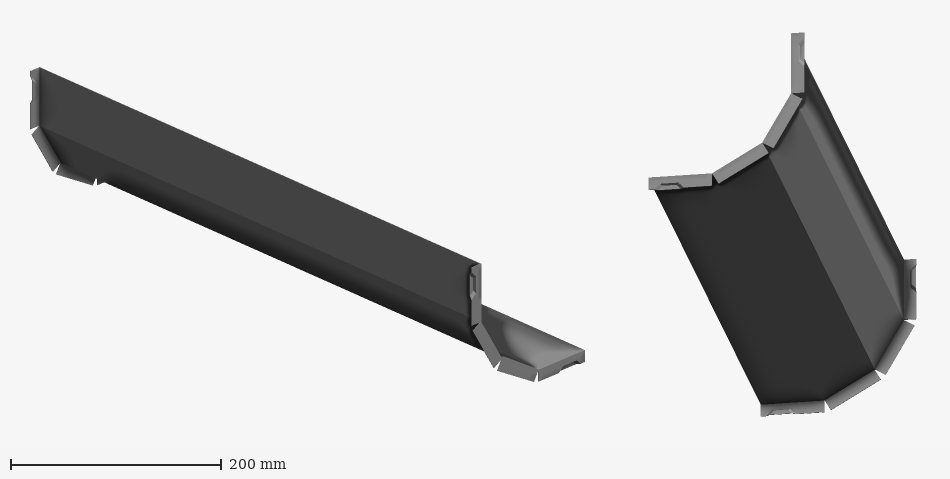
import cadquery as cq
import math

LENGTH = 600.0
SECTION_SIZE = 150.0
SHEET_THICKNESS = 0.8
FLANGE_DEPTH = 12.5
END_PANEL_WIDTH = 61.0
BEND_ANGLE = 30.0

JOGGLE_DISTANCE = 20.0
RIM_HALF_WIDTH = 14.5
RIM_REACH = 5.5
FLOOR_HALF_WIDTH = 11.0
FLOOR_REACH = 4.0
JOGGLE_OFFSET = 2.5

bend = math.radians(BEND_ANGLE)
middle_panel_width = (SECTION_SIZE - FLANGE_DEPTH - END_PANEL_WIDTH) / (math.cos(bend) + math.sin(bend))
panel_widths = [END_PANEL_WIDTH, middle_panel_width, middle_panel_width, END_PANEL_WIDTH]

FIRST_HEADING = 180.0
headings = [FIRST_HEADING - i * BEND_ANGLE for i in range(len(panel_widths))]


def step(point, angle, distance):
    """Point reached from a YZ point along a direction given in degrees from +Y."""
    radians = math.radians(angle)
    return (point[0] + distance * math.cos(radians), point[1] + distance * math.sin(radians))


def outward(heading):
    """Direction from the concave face of a panel towards its convex side."""
    return heading + 90.0


corners = [(SECTION_SIZE, FLANGE_DEPTH)]
for width, heading in zip(panel_widths, headings):
    corners.append(step(corners[-1], heading, width))


def make_sheet():
    """Four flat panels, with mitred bends on the convex face."""
    mitre = SHEET_THICKNESS / math.cos(bend / 2)
    convex = [step(corners[0], outward(headings[0]), SHEET_THICKNESS)]
    for corner, before, after in zip(corners[1:], headings, headings[1:]):
        convex.append(step(corner, outward((before + after) / 2), mitre))
    convex.append(step(corners[-1], outward(headings[-1]), SHEET_THICKNESS))
    return cq.Workplane("YZ").polyline(corners + convex[::-1]).close().extrude(LENGTH)


def make_flange(start, heading, width):
    """Rectangular flange at X = 0; the wedge gaps at the bends stay open."""
    end = step(start, heading, width)
    depth_direction = outward(heading)
    outline = [
        start,
        end,
        step(end, depth_direction, FLANGE_DEPTH),
        step(start, depth_direction, FLANGE_DEPTH),
    ]
    return cq.Workplane("YZ").polyline(outline).close().extrude(SHEET_THICKNESS)


def joggle_outline(centre, heading, half_width, reach):
    """Trapezium with 45 degree sides, standing on the free edge of a flange."""
    inner_centre = step(centre, outward(heading), -reach)
    inner_half_width = half_width - reach
    return [
        step(centre, heading, -half_width),
        step(centre, heading, half_width),
        step(inner_centre, heading, inner_half_width),
        step(inner_centre, heading, -inner_half_width),
    ]


def make_joggle_body(centre, heading, start_x):
    """Tapered block whose sides slope from the rim down to the joggle floor."""
    rim = joggle_outline(centre, heading, RIM_HALF_WIDTH, RIM_REACH)
    floor = joggle_outline(centre, heading, FLOOR_HALF_WIDTH, FLOOR_REACH)
    return (
        cq.Workplane("YZ", origin=(start_x, 0, 0))
        .polyline(rim).close()
        .workplane(offset=JOGGLE_OFFSET)
        .polyline(floor).close()
        .loft(ruled=True)
    )


def add_joggle(flange, panel_end, heading, inward_distance):
    """Press a joggle into a flange: a bulge on the inner face, a recess on the outer."""
    on_panel = step(panel_end, heading, inward_distance)
    centre = step(on_panel, outward(heading), FLANGE_DEPTH)
    bulge = make_joggle_body(centre, heading, SHEET_THICKNESS)
    recess = make_joggle_body(centre, heading, 0)
    return flange.union(bulge).cut(recess)


flanges = [make_flange(*panel) for panel in zip(corners, headings, panel_widths)]
flanges[0] = add_joggle(flanges[0], corners[0], headings[0], JOGGLE_DISTANCE)
flanges[-1] = add_joggle(flanges[-1], corners[-1], headings[-1], -JOGGLE_DISTANCE)

result = make_sheet()
for flange in flanges:
    opposite_flange = flange.mirror("YZ").translate((LENGTH, 0, 0))
    result = result.union(flange).union(opposite_flange)

result = result.clean()